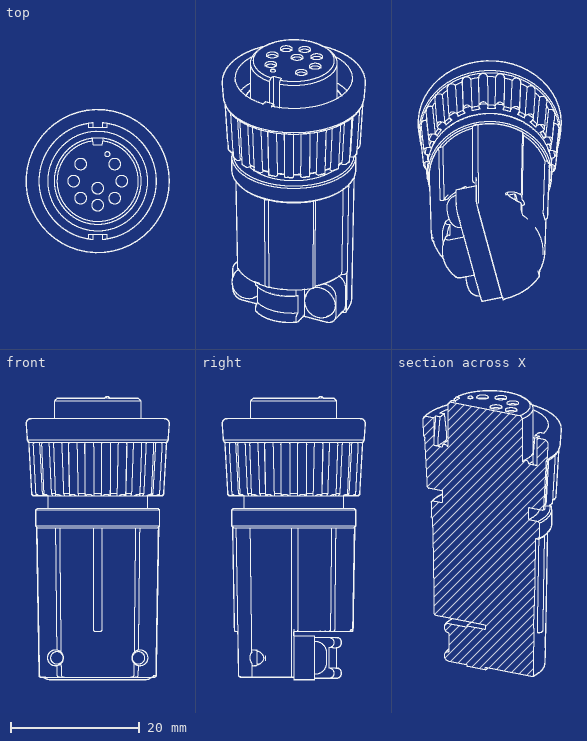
import cadquery as cq
import math

total_height = 43.95
insert_top = 43.65
ring_top = 40.5
neck_top = 36.4
ring_rim_bottom = 37.2
grip_top = 36.8
ring_floor = 35.9
grip_bottom = 28.5
collar_top = 26.58
collar_bottom = 23.55
back_half_bottom = 7.45
front_half_bottom = 0.4

overlap = 0.45

insert_radius = 6.7
insert_chamfer = 0.45
contact_diameter = 1.8
contact_depth = 0.5
contact_circle_radius = 3.75
inner_contact_y = -1.1
keyway_outer_width = 1.75
keyway_inner_width = 1.35
keyway_floor_y = 5.62
mark_x = 1.5
mark_y = 4.17
mark_radius = 0.4

neck_radius = 7.75
ring_radius = 11.1
rim_widest = 39.65
ring_rounding = 0.8
rim_bottom_radius = 10.95
ring_bore_radius = 9.1
key_tip_radius = 8.3
key_top_width = 1.45
key_base_width = 2.85
key_depth = 3.5
rib_count = 24
rib_radius = 0.7
rib_top_reach = 10.75
rib_bottom_reach = 10.3
rib_height = 0.7
rib_envelope_margin = 0.15
grip_chamfer = 0.35

collar_radius = 9.6
collar_edge = 0.25
shell_top_radius = 9.5
shell_bottom_radius = 9.1
raised_panel_drop = 0.1
sunken_panel_drop = 0.53
step_top_offset = 6.75
step_bottom_offset = 6.45
seam_rib_radius = 0.65
shell_edge = 0.3

clamp_half_width = 8.95
clamp_depth = 3.25
clamp_height = 6.8
clamp_corner = 1.63
clamp_mid_z = clamp_height / 2
screw_x = 6.33
screw_head_radius = 2.55
screw_head_height = 1.85
screw_head_rounding = 1.8
screw_hole_x = 6.55
screw_hole_radius = 1.25
screw_hole_floor_y = -4.4
screw_tip_radius = 0.95
screw_tip_y = -5.7
saddle_half_width = 3.5
saddle_ridge_width = 1.63
saddle_ridge_side = 6.25
saddle_ridge_reach = 7.4
saddle_web_side = 5.5
saddle_web_reach = 6.65
saddle_ridge_offset = 2.37
saddle_ridge_rounding = 0.75


def turned(points):
    """Revolve a closed (radius, height) outline about Z."""
    return cq.Workplane("XZ").polyline(points).close().revolve(360, (0, 0), (0, 1))


def cylinder(radius, bottom, top):
    return cq.Workplane("XY").workplane(offset=bottom).circle(radius).extrude(top - bottom)


def block(x_range, y_range, z_range):
    size = [end - start for start, end in (x_range, y_range, z_range)]
    corner = (x_range[0], y_range[0], z_range[0])
    return cq.Workplane("XY").box(*size, centered=False).translate(corner)


def rod(start, end, radius):
    """Straight round bar between two points."""
    axis = cq.Vector(*end) - cq.Vector(*start)
    return cq.Workplane(cq.Solid.makeCylinder(radius, axis.Length, cq.Vector(*start), axis))


def grip_cone(drop):
    slope = (rib_top_reach - rib_bottom_reach) / (grip_top - grip_bottom)
    top_radius = rib_top_reach - drop
    bottom_radius = rib_bottom_reach - drop
    return turned([
        (0, grip_bottom),
        (bottom_radius - grip_chamfer, grip_bottom),
        (bottom_radius + slope * grip_chamfer, grip_bottom + grip_chamfer),
        (top_radius, grip_top),
        (top_radius, ring_rim_bottom),
        (0, ring_rim_bottom),
    ])


def grip_ribs():
    axis_top = rib_top_reach - rib_radius
    axis_bottom = rib_bottom_reach - rib_radius
    dome_height = ring_rim_bottom - rib_radius
    rib = rod((-axis_bottom, 0, grip_bottom - overlap), (-axis_top, 0, dome_height), rib_radius)
    rib = rib.union(cq.Workplane("XY").sphere(rib_radius).translate((-axis_top, 0, dome_height)))
    pitch = 360 / rib_count
    ribs = [rib.rotate((0, 0, 0), (0, 0, 1), (i + 0.5) * pitch).val() for i in range(rib_count)]
    return grip_cone(-rib_envelope_margin).intersect(cq.Workplane(cq.Compound.makeCompound(ribs)))


def ring_key(side):
    """Key on the bore wall whose flanks spread downward."""
    profile = [
        (-key_top_width / 2, ring_top),
        (key_top_width / 2, ring_top),
        (key_base_width / 2, ring_top - key_depth),
        (key_base_width / 2, ring_floor),
        (-key_base_width / 2, ring_floor),
        (-key_base_width / 2, ring_top - key_depth),
    ]
    reach = ring_bore_radius + overlap
    key = cq.Workplane("XZ", origin=(0, side * key_tip_radius, 0)).polyline(profile).close()
    return key.extrude(-side * (reach - key_tip_radius))


def coupling_ring():
    rim = turned([
        (0, grip_top),
        (rib_top_reach, grip_top),
        (rim_bottom_radius, ring_rim_bottom),
        (ring_radius, rim_widest),
        (ring_radius, ring_top),
        (0, ring_top),
    ]).faces(">Z").edges().fillet(ring_rounding)
    ring = rim.union(grip_cone(rib_height)).union(grip_ribs())
    ring = ring.cut(cylinder(ring_bore_radius, ring_floor, ring_top))
    return ring.union(ring_key(1)).union(ring_key(-1))


def front_end():
    bead_radius = (neck_radius - insert_radius) / 2
    bead_middle = (insert_radius + bead_radius, neck_top - bead_radius)
    bead = cq.Workplane("XZ").center(*bead_middle).circle(bead_radius)
    bead = bead.revolve(360, (-bead_middle[0], 0), (-bead_middle[0], 1))
    neck = cylinder(neck_radius, collar_top, neck_top - bead_radius).union(bead)
    insert = cylinder(insert_radius, collar_top, insert_top).faces(">Z").edges().chamfer(insert_chamfer)

    diagonal = contact_circle_radius * math.sqrt(0.5)
    contacts = [(sx * diagonal, sy * diagonal) for sx in (-1, 1) for sy in (-1, 1)]
    contacts += [(-contact_circle_radius, 0), (contact_circle_radius, 0)]
    contacts += [(0, -contact_circle_radius), (0, inner_contact_y)]
    top_plane = cq.Workplane("XY").workplane(offset=insert_top)
    insert = insert.cut(top_plane.pushPoints(contacts).circle(contact_diameter / 2).extrude(-contact_depth))

    keyway = top_plane.polyline([
        (-keyway_inner_width / 2, keyway_floor_y),
        (keyway_inner_width / 2, keyway_floor_y),
        (keyway_outer_width / 2, insert_radius),
        (-keyway_outer_width / 2, insert_radius),
    ]).close().extrude(neck_top - insert_top)
    insert = insert.cut(keyway)

    mark_height = total_height - insert_top
    sphere_radius = (mark_radius ** 2 + mark_height ** 2) / (2 * mark_height)
    dome = cq.Workplane("XY").sphere(sphere_radius)
    dome = dome.translate((mark_x, mark_y, total_height - sphere_radius))
    return neck.union(insert).union(dome)


def shell_radius(height):
    share = (height - front_half_bottom) / (collar_bottom - front_half_bottom)
    return shell_bottom_radius + share * (shell_top_radius - shell_bottom_radius)


def shell_cone(drop, bottom):
    bottom_radius = shell_radius(bottom) - drop
    top_radius = shell_radius(collar_bottom) - drop
    cone = turned([(0, bottom), (bottom_radius, bottom), (top_radius, collar_bottom), (0, collar_bottom)])
    return cone.faces("<Z").edges().fillet(shell_edge)


def step_slab(plane):
    """Slab with drafted faces that bounds the raised panels."""
    slab = cq.Workplane(plane).polyline([
        (-step_bottom_offset, front_half_bottom),
        (step_bottom_offset, front_half_bottom),
        (step_top_offset, collar_bottom),
        (-step_top_offset, collar_bottom),
    ]).close()
    return slab.extrude(collar_radius, both=True)


def seam_rib(angle, bottom):
    """Round rib following the taper of the shell at the given angle about Z."""
    start = (shell_radius(bottom) - seam_rib_radius, 0, bottom)
    end = (shell_radius(collar_bottom) - seam_rib_radius, 0, collar_bottom)
    rib = rod(start, end, seam_rib_radius).faces("<Z").edges().fillet(shell_edge)
    return rib.rotate((0, 0, 0), (0, 0, 1), angle)


def shell_half(bottom, slab_plane, y_range, middle_rib_angle):
    shell = shell_cone(sunken_panel_drop, bottom)
    shell = shell.union(shell_cone(raised_panel_drop, bottom).intersect(step_slab(slab_plane)))
    for angle in (0, 180):
        shell = shell.union(seam_rib(angle, bottom))
    shell = shell.union(seam_rib(middle_rib_angle, back_half_bottom))
    width = (-collar_radius, collar_radius)
    return shell.intersect(block(width, y_range, (0, collar_bottom)))


def back_shell():
    collar = cylinder(collar_radius, collar_bottom, collar_top).edges().chamfer(collar_edge)
    front_half = shell_half(front_half_bottom, "YZ", (-collar_radius, 0), -90)
    back_half = shell_half(back_half_bottom, "XZ", (0, collar_radius), 90)
    for side in (-1, 1):
        hole_x = side * screw_hole_x
        hole_start = (hole_x, -collar_radius, clamp_mid_z)
        hole_end = (hole_x, screw_hole_floor_y, clamp_mid_z)
        front_half = front_half.cut(rod(hole_start, hole_end, screw_hole_radius))
        tip_x = side * screw_x
        tip_start = (tip_x, screw_tip_y, clamp_mid_z)
        tip_end = (tip_x, screw_hole_floor_y + overlap, clamp_mid_z)
        front_half = front_half.union(rod(tip_start, tip_end, screw_tip_radius))
    return collar.union(front_half).union(back_half)


def saddle_arch(side_y, reach_y, bottom, top):
    arch = (
        cq.Workplane("XY").workplane(offset=bottom)
        .moveTo(-saddle_half_width, clamp_depth)
        .lineTo(-saddle_half_width, side_y)
        .threePointArc((0, reach_y), (saddle_half_width, side_y))
        .lineTo(saddle_half_width, clamp_depth)
        .close()
    )
    return arch.extrude(top - bottom)


def cable_clamp():
    bar = block((-clamp_half_width, clamp_half_width), (0, clamp_depth), (0, clamp_height))
    clamp = bar.edges("|Y").fillet(clamp_corner)
    for side in (-1, 1):
        base = (side * screw_x, clamp_depth, clamp_mid_z)
        crown = (side * screw_x, clamp_depth + screw_head_height, clamp_mid_z)
        head = rod(base, crown, screw_head_radius).faces(">Y").edges().fillet(screw_head_rounding)
        clamp = clamp.union(head)

        ridge_middle = clamp_mid_z + side * saddle_ridge_offset
        ridge = saddle_arch(
            saddle_ridge_side,
            saddle_ridge_reach,
            ridge_middle - saddle_ridge_width / 2,
            ridge_middle + saddle_ridge_width / 2,
        )
        clamp = clamp.union(ridge.edges("%CIRCLE").fillet(saddle_ridge_rounding))
    low = clamp_mid_z - saddle_ridge_offset
    high = clamp_mid_z + saddle_ridge_offset
    return clamp.union(saddle_arch(saddle_web_side, saddle_web_reach, low, high))


result = front_end().union(coupling_ring()).union(back_shell()).union(cable_clamp())